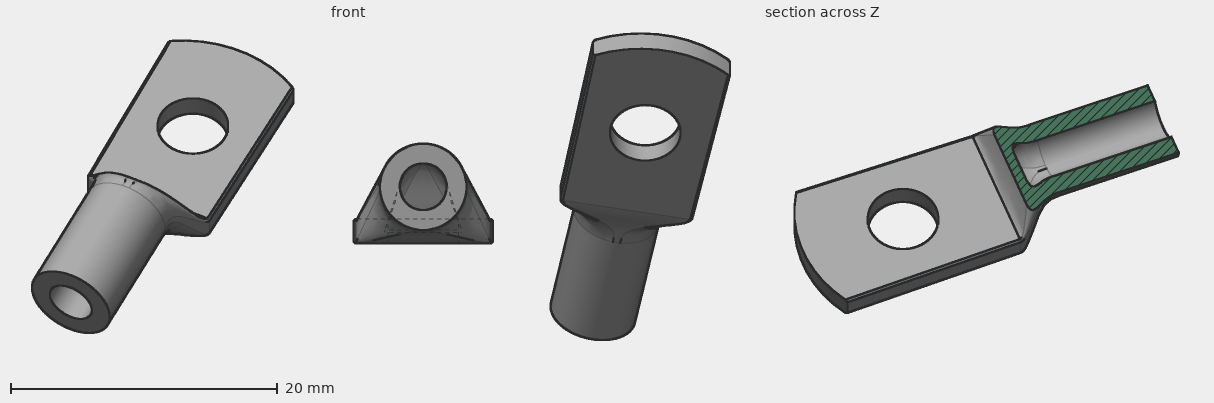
import cadquery as cq
import math

length = 28.97
palm_end_width = 10.45
palm_root_width = 10.05
palm_thickness = 1.85
palm_root_y = 13.45
palm_shoulder_y = 27.45
palm_chamfer = 0.17

hole_diameter = 5.3
hole_y = 20.95

overall_height = 7.5
barrel_diameter = 6.5
barrel_length = 9.45
bore_diameter = 3.5
barrel_axis_z = overall_height - barrel_diameter / 2

slit_width = 5.8
slit_thickness = 0.17
slit_chamfer = 0.05
slit_end_y = 12.9

neck_sections = 9
ease_start_power = 1.7
ease_end_power = 3.3
neck_side_angle = 10


def blend(start, end, weight):
    """Point that divides the way from start to end by weight."""
    return tuple(a + (b - a) * weight for a, b in zip(start, end))


def section(y, flat_width, flat_thickness, corner_size, diameter, weight):
    """Closed section: a chamfered rectangle at weight 0 that rounds off to a circle at weight 1."""
    flat_z = palm_thickness / 2
    core_x = flat_width / 2 - corner_size
    core_z = flat_thickness / 2 - corner_size

    def point(side_x, side_z, flat_angle, round_angle):
        """Blend a point on the flat section with its partner on the circle."""
        flat = (
            side_x * core_x + corner_size * math.cos(flat_angle),
            y,
            flat_z + side_z * core_z + corner_size * math.sin(flat_angle),
        )
        circular = (
            diameter / 2 * math.cos(round_angle),
            y,
            barrel_axis_z + diameter / 2 * math.sin(round_angle),
        )
        return cq.Vector(*blend(flat, circular, weight))

    side_half_angle = math.radians(neck_side_angle / 2)
    corner_signs = [(1, 1), (-1, 1), (-1, -1), (1, -1)]
    side_signs = [(0, 1), (-1, 0), (0, -1), (1, 0)]
    corner_arcs = []
    for i, (side_x, side_z) in enumerate(corner_signs):
        first = i * math.pi / 2
        last = first + math.pi / 2
        middle = (first + last) / 2
        corner_arcs.append((
            point(side_x, side_z, first, first + side_half_angle),
            point(side_x, side_z, middle, middle),
            point(side_x, side_z, last, last - side_half_angle),
        ))

    edges = []
    for i, (side_x, side_z) in enumerate(side_signs):
        corner = corner_arcs[i]
        next_corner = corner_arcs[(i + 1) % len(corner_arcs)]
        if weight == 0:
            edges.append(cq.Edge.makeLine(corner[0], corner[2]))
            edges.append(cq.Edge.makeLine(corner[2], next_corner[0]))
        else:
            edges.append(cq.Edge.makeThreePointArc(*corner))
            side_angle = (i + 1) * math.pi / 2
            side_middle = point(side_x, side_z, side_angle, side_angle)
            edges.append(cq.Edge.makeThreePointArc(corner[2], side_middle, next_corner[0]))
    return cq.Wire.assembleEdges(edges)


def flat_to_round(flat_y, flat_width, flat_thickness, corner_size, diameter):
    """Smooth loft from a flat section at flat_y to a circle at the barrel."""
    wires = []
    for i in range(neck_sections):
        travel = i / (neck_sections - 1)
        weight = 1 - (1 - travel**ease_start_power) ** ease_end_power
        y = flat_y + (barrel_length - flat_y) * travel
        wires.append(section(y, flat_width, flat_thickness, corner_size, diameter, weight))
    return cq.Workplane(obj=cq.Solid.makeLoft(wires))


def barrel_cylinder(diameter):
    """Cylinder on the barrel axis, from the mouth to the neck."""
    mouth = cq.Vector(0, 0, barrel_axis_z)
    cylinder = cq.Solid.makeCylinder(diameter / 2, barrel_length, mouth, cq.Vector(0, 1, 0))
    return cq.Workplane(obj=cylinder)


def make_palm():
    """Slightly flared flat tongue with an arched tip and chamfered long edges."""
    plate = (
        cq.Workplane("XY")
        .moveTo(-palm_root_width / 2, palm_root_y)
        .lineTo(palm_root_width / 2, palm_root_y)
        .lineTo(palm_end_width / 2, palm_shoulder_y)
        .threePointArc((0, length), (-palm_end_width / 2, palm_shoulder_y))
        .close()
        .extrude(palm_thickness)
    )
    long_edges = plate.edges("#Z").edges("%LINE").edges("not(#Y)")
    plate = long_edges.chamfer(palm_chamfer)
    hole = cq.Workplane("XY").center(0, hole_y).circle(hole_diameter / 2).extrude(palm_thickness)
    return plate.cut(hole)


neck = flat_to_round(palm_root_y, palm_root_width, palm_thickness, palm_chamfer, barrel_diameter)
body = make_palm().union(neck).union(barrel_cylinder(barrel_diameter))

bore_taper = flat_to_round(slit_end_y, slit_width, slit_thickness, slit_chamfer, bore_diameter)
result = body.cut(barrel_cylinder(bore_diameter)).cut(bore_taper)